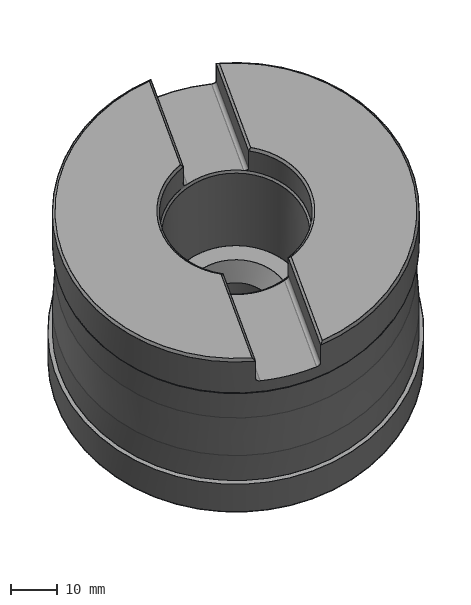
import cadquery as cq

height = 55.0
flange_radius = 40.0
flange_height = 10.9
flange_chamfer = 0.6

barrel_radius = 39.0
neck_radius = 38.5
head_radius = barrel_radius
taper_start = 20.1
taper_end = 33.1
neck_top = 42.1
head_bottom = 43.1
head_chamfer = 0.6

slot_width = 14.5
slot_depth = 7.9
slot_floor_fillet = 1.0
slot_edge_chamfer = 0.6
slot_floor = height - slot_depth

upper_bore_radius = 16.2
bore_radius = 15.8
bore_edge_chamfer = 0.6
bore_floor = 20.0
countersink_radius = 12.1
hole_radius = 8.6
countersink_depth = countersink_radius - hole_radius


def revolve_profile(points):
    """Revolve a closed (radius, height) outline about the Z axis."""
    return cq.Workplane("XZ").polyline(points).close().revolve(360, (0, 0, 0), (0, 1, 0))


def make_body():
    return revolve_profile([
        (0, 0),
        (flange_radius - flange_chamfer, 0),
        (flange_radius, flange_chamfer),
        (flange_radius, flange_height),
        (barrel_radius, flange_height),
        (barrel_radius, taper_start),
        (neck_radius, taper_end),
        (neck_radius, neck_top),
        (head_radius, head_bottom),
        (head_radius, height - head_chamfer),
        (head_radius - head_chamfer, height),
        (0, height),
    ])


def make_slot_cutter():
    half_width = slot_width / 2
    mouth_half_width = half_width + slot_edge_chamfer
    fillet_end = half_width - slot_floor_fillet
    fillet_top = slot_floor + slot_floor_fillet
    chamfer_bottom = height - slot_edge_chamfer
    return (
        cq.Workplane("YZ")
        .moveTo(-fillet_end, slot_floor)
        .lineTo(fillet_end, slot_floor)
        .radiusArc((half_width, fillet_top), -slot_floor_fillet)
        .lineTo(half_width, chamfer_bottom)
        .lineTo(mouth_half_width, height)
        .lineTo(-mouth_half_width, height)
        .lineTo(-half_width, chamfer_bottom)
        .lineTo(-half_width, fillet_top)
        .radiusArc((-fillet_end, slot_floor), -slot_floor_fillet)
        .close()
        .extrude(flange_radius, both=True)
    )


def make_bore_cutter():
    ledge_drop = upper_bore_radius - bore_radius
    return revolve_profile([
        (0, 0),
        (hole_radius, 0),
        (hole_radius, bore_floor - countersink_depth),
        (countersink_radius, bore_floor),
        (bore_radius, bore_floor),
        (bore_radius, slot_floor - ledge_drop),
        (upper_bore_radius, slot_floor),
        (upper_bore_radius, height - bore_edge_chamfer),
        (upper_bore_radius + bore_edge_chamfer, height),
        (0, height),
    ])


result = make_body().cut(make_slot_cutter()).cut(make_bore_cutter())